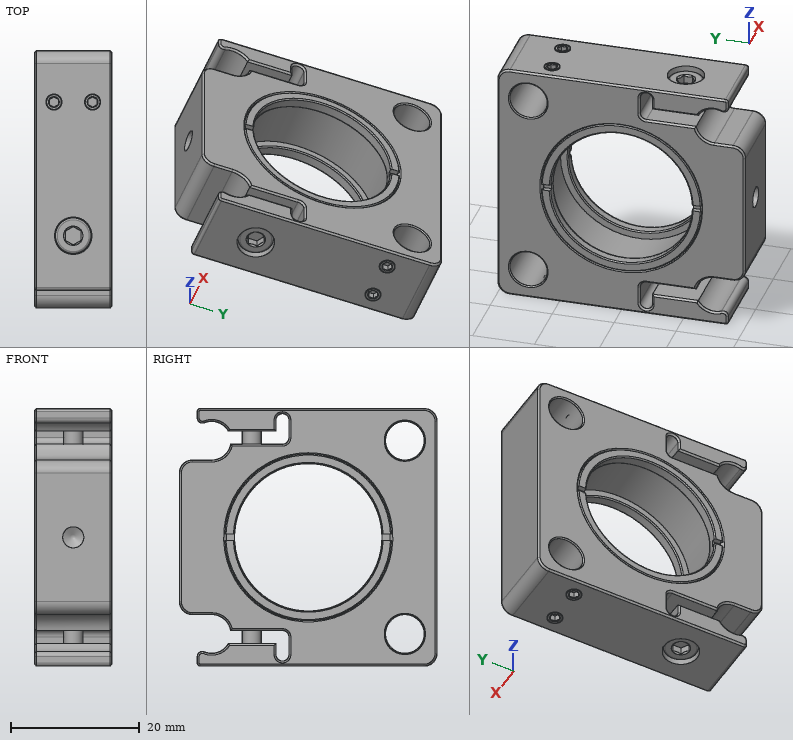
import cadquery as cq
import math

side = 40.0
half = side / 2
thickness = 12.0
front_x = -thickness / 2
corner_radius = 2.0
edge_chamfer = 0.3

rod_offset = 15.0
rod_diameter = 6.0
rod_chamfer = 0.2
seat_radius = rod_diameter / 2

arm_tip_y = -17.25
arm_tip_fillet = 0.5
arm_lip_radius = 0.8
arm_inner_z = 16.5
slot_floor_z = 14.5
slot_top_z = 19.2
slot_start_y = -3.0
slot_end_radius = 1.0
slot_corner_radius = 1.0

bore_diameter = 25.4
bore_mouth_diameter = 26.3
ring_inner_diameter = 22.9
ring_thickness = 1.8
ring_chamfer = 0.2
ring_edge_bevel = 0.18
ring_slot_width = 1.0
ring_slot_depth = 0.8

screw_y = -8.75
screw_diameter = 3.0
screw_tip_z = 10.8
counterbore_diameter = 5.8
counterbore_depth = 2.4
head_diameter = 5.5
head_height = 1.7
head_fillet = 0.3
screw_socket_flats = 2.5
screw_socket_mouth = 3.0
screw_socket_depth = 1.4

set_screw_x = 3.0
set_screw_y = 12.0
set_screw_diameter = 2.5
set_screw_chamfer = 0.1
set_screw_length = 2.4
set_socket_flats = 1.4
set_socket_mouth = 1.7
set_socket_depth = 1.2

mount_diameter = 3.3
mount_depth = 4.0
drill_point_angle = 118.0


def cylinder_z(x, y, bottom_z, top_z, diameter):
    """Upright cylinder between two heights."""
    base = cq.Workplane("XY", origin=(x, y, bottom_z))
    return base.circle(diameter / 2).extrude(top_z - bottom_z)


def cone_x(start_x, start_diameter, length, end_diameter):
    """Cone along +X on the X axis."""
    cone = cq.Solid.makeCone(
        start_diameter / 2, end_diameter / 2, length, cq.Vector(start_x, 0, 0), cq.Vector(1, 0, 0)
    )
    return cq.Workplane(cone)


def mirrored_pair(upper):
    """The given body and its copy below the mid-height plane."""
    return [upper, upper.mirror("XY")]


def housing_upper_half():
    """Plate above the mid-height plane, with one clamp arm, its slot and its open rod seat."""
    nose_z = rod_offset - seat_radius
    slot_end_y = slot_start_y - 2 * slot_end_radius
    slot_arc_z = slot_top_z - slot_end_radius
    slot_middle_y = slot_start_y - slot_end_radius

    seat_floor_y = -rod_offset + math.sqrt(seat_radius**2 - (slot_floor_z - rod_offset) ** 2)
    seat_arm_y = -rod_offset + math.sqrt(seat_radius**2 - (arm_inner_z - rod_offset) ** 2)
    seat_diagonal = seat_radius * math.sqrt(0.5)

    lip_y = arm_tip_y + arm_lip_radius
    lip_reach = seat_radius + arm_lip_radius
    lip_z = rod_offset + math.sqrt(lip_reach**2 - (lip_y + rod_offset) ** 2)
    seat_share = seat_radius / lip_reach
    lip_start_y = -rod_offset + seat_share * (lip_y + rod_offset)
    lip_start_z = rod_offset + seat_share * (lip_z - rod_offset)

    profile = (
        cq.Workplane("YZ", origin=(front_x, 0, 0))
        .moveTo(half, 0)
        .lineTo(half, half - corner_radius)
        .tangentArcPoint((half - corner_radius, half), relative=False)
        .lineTo(arm_tip_y + arm_tip_fillet, half)
        .tangentArcPoint((arm_tip_y, half - arm_tip_fillet), relative=False)
        .lineTo(arm_tip_y, lip_z)
        .tangentArcPoint((lip_start_y, lip_start_z), relative=False)
        .threePointArc(
            (-rod_offset + seat_diagonal, rod_offset + seat_diagonal), (seat_arm_y, arm_inner_z)
        )
        .lineTo(slot_end_y, arm_inner_z)
        .lineTo(slot_end_y, slot_arc_z)
        .threePointArc((slot_middle_y, slot_top_z), (slot_start_y, slot_arc_z))
        .lineTo(slot_start_y, slot_floor_z + slot_corner_radius)
        .tangentArcPoint((slot_start_y - slot_corner_radius, slot_floor_z), relative=False)
        .lineTo(seat_floor_y, slot_floor_z)
        .threePointArc(
            (-rod_offset + seat_diagonal, rod_offset - seat_diagonal), (-rod_offset, nose_z)
        )
        .lineTo(-half + corner_radius, nose_z)
        .tangentArcPoint((-half, nose_z - corner_radius), relative=False)
        .lineTo(-half, 0)
        .close()
    )
    return profile.extrude(thickness)


def bore_cutter():
    """Lens bore with a chamfered mouth at each end."""
    mouth_depth = (bore_mouth_diameter - bore_diameter) / 2
    bore = cq.Workplane("YZ", origin=(front_x, 0, 0)).circle(bore_diameter / 2).extrude(thickness)
    front_mouth = cone_x(front_x, bore_mouth_diameter, mouth_depth, bore_diameter)
    return bore.union(front_mouth).union(front_mouth.mirror("YZ"))


def rod_hole_cutter(z):
    """Through hole for a rod, chamfered at both ends."""
    wide_diameter = rod_diameter + 2 * rod_chamfer
    hole = cq.Workplane("YZ", origin=(front_x, 0, 0)).circle(rod_diameter / 2).extrude(thickness)
    front_mouth = cone_x(front_x, wide_diameter, rod_chamfer, rod_diameter)
    hole = hole.union(front_mouth).union(front_mouth.mirror("YZ"))
    return hole.translate((0, rod_offset, z))


def mount_hole_cutter():
    """Blind drilled hole with a conical bottom, into the nose along Y."""
    radius = mount_diameter / 2
    point_depth = radius / math.tan(math.radians(drill_point_angle / 2))
    return (
        cq.Workplane("XY")
        .moveTo(0, -half)
        .lineTo(radius, -half)
        .lineTo(radius, -half + mount_depth)
        .lineTo(0, -half + mount_depth + point_depth)
        .close()
        .revolve(360, (0, 0), (0, 1))
    )


def clamp_screw_cutter():
    """Counterbore in the upper arm and the hole below it for the screw shank."""
    counterbore = cylinder_z(0, screw_y, half - counterbore_depth, half, counterbore_diameter)
    return counterbore.union(cylinder_z(0, screw_y, screw_tip_z, half, screw_diameter))


def make_housing():
    upper = housing_upper_half()
    housing = upper.union(upper.mirror("XY")).clean()
    housing = housing.faces("<X or >X").chamfer(edge_chamfer)
    housing = housing.cut(bore_cutter()).cut(mount_hole_cutter())
    for z in (-rod_offset, rod_offset):
        housing = housing.cut(rod_hole_cutter(z))
    upper_cutters = [clamp_screw_cutter()]
    for x in (-set_screw_x, set_screw_x):
        upper_cutters.append(cylinder_z(x, set_screw_y, half - set_screw_length, half, set_screw_diameter))
    for upper_cutter in upper_cutters:
        for cutter in mirrored_pair(upper_cutter):
            housing = housing.cut(cutter)
    return housing


def make_front_ring():
    """Retaining ring flush with the front face, with two wrench slots across it.

    Its rim seats in the chamfered mouth of the bore and is bevelled back towards the front.
    """
    inner_radius = ring_inner_diameter / 2
    outer_radius = bore_diameter / 2
    mouth_radius = bore_mouth_diameter / 2
    mouth_depth = mouth_radius - outer_radius
    rim_radius = mouth_radius - ring_edge_bevel
    back_x = front_x + ring_thickness
    section = (
        cq.Workplane("XY")
        .moveTo(front_x, inner_radius + ring_chamfer)
        .lineTo(front_x, rim_radius - ring_edge_bevel)
        .lineTo(front_x + ring_edge_bevel, rim_radius)
        .lineTo(front_x + mouth_depth, outer_radius)
        .lineTo(back_x, outer_radius)
        .lineTo(back_x, inner_radius + ring_chamfer)
        .lineTo(back_x - ring_chamfer, inner_radius)
        .lineTo(front_x + ring_chamfer, inner_radius)
        .close()
    )
    ring = section.revolve(360, (0, 0), (1, 0))
    wrench_slot = cq.Workplane("XY").box(
        ring_slot_depth, bore_mouth_diameter, ring_slot_width, centered=(False, True, True)
    )
    return ring.cut(wrench_slot.translate((front_x, 0, 0)))


def hex_socket_cutter(x, y, top_z, flats, mouth_diameter, depth):
    """Hexagonal socket with corners along Y and a countersunk mouth at 45 degrees."""
    corners = flats / math.cos(math.radians(30))
    top_centre = cq.Vector(x, y, top_z)
    socket = cq.Workplane("XY").polygon(6, corners).extrude(-depth)
    socket = socket.rotate((0, 0, 0), (0, 0, 1), 90).translate(top_centre)
    mouth_depth = (mouth_diameter - flats) / 2
    mouth = cq.Solid.makeCone(mouth_diameter / 2, flats / 2, mouth_depth, top_centre, cq.Vector(0, 0, -1))
    return socket.union(cq.Workplane(mouth))


def make_upper_clamp_screw():
    """Socket head screw through the arm, threaded end in the body of the housing."""
    seat_z = half - counterbore_depth
    head_top_z = seat_z + head_height
    head = cylinder_z(0, screw_y, seat_z, head_top_z, head_diameter)
    head = head.faces(">Z").edges().fillet(head_fillet)
    screw = head.union(cylinder_z(0, screw_y, screw_tip_z, seat_z, screw_diameter))
    socket = hex_socket_cutter(
        0, screw_y, head_top_z, screw_socket_flats, screw_socket_mouth, screw_socket_depth
    )
    return screw.cut(socket)


def make_upper_set_screw(x):
    """Headless screw flush with the upper face, with a chamfered rim."""
    screw = cylinder_z(x, set_screw_y, half - set_screw_length, half, set_screw_diameter)
    screw = screw.faces(">Z").chamfer(set_screw_chamfer)
    socket = hex_socket_cutter(
        x, set_screw_y, half, set_socket_flats, set_socket_mouth, set_socket_depth
    )
    return screw.cut(socket)


housing = make_housing()

front_ring = make_front_ring()
retaining_rings = [front_ring, front_ring.mirror("YZ")]

clamp_screws = mirrored_pair(make_upper_clamp_screw())

set_screws = []
for x in (-set_screw_x, set_screw_x):
    set_screws.extend(mirrored_pair(make_upper_set_screw(x)))

bodies = [housing, *retaining_rings, *clamp_screws, *set_screws]
result = cq.Compound.makeCompound([body.val() for body in bodies])